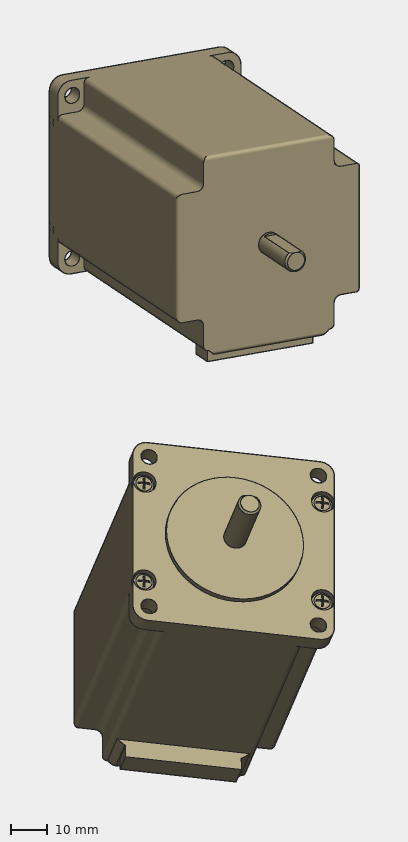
import cadquery as cq
import math


total_length = 112.6
side = 56.0
half_side = side / 2

flange_thickness = 5.1
flange_corner_radius = 4.0
boss_radius = 19.0
boss_height = 1.6
mount_hole_offset = 23.5
mount_hole_diameter = 4.5

body_end = 76.0
notch_wall_y = 19.9
notch_floor_z = 18.6
edge_radius = 1.5
notch_radius = 2.0
end_radius = 1.0

shaft_diameter = 6.3
shaft_radius = shaft_diameter / 2
shaft_chamfer = 0.6
front_tip = -20.5
rear_tip = front_tip + total_length
front_flat_length = 15.0
rear_flat_length = 15.2
flat_depth = 0.62

rear_cap_start = 64.0
outlet_drop = 1.7
outlet_bottom_half_width = 16.3
connector_length = 6.9
connector_half_width = 16.1
connector_drop = 5.3

screw_y = 24.8
screw_z = 15.4
counterbore_diameter = 6.3
counterbore_depth = 2.3
head_radius = 2.9
head_rim_radius = 0.7
head_rim_depth = 1.6
head_top_depth = 0.3
recess_length = 3.4
recess_width = 0.5
recess_depth = 1.0


def section_at(x):
    """Sketch plane across the shaft at X = x, with local axes along Y and Z."""
    return cq.Workplane("YZ", origin=(x, 0, 0))


def corner_points(y, z):
    """The four points mirrored about both section axes."""
    return [(sy * y, sz * z) for sy in (-1, 1) for sz in (-1, 1)]


def make_flange():
    plate = section_at(0).rect(side, side).extrude(flange_thickness)
    plate = plate.edges("|X").fillet(flange_corner_radius)
    boss = section_at(-boss_height).circle(boss_radius).extrude(boss_height)
    return plate.union(boss)


def make_cable_outlet():
    """Tapered swelling along the underside of the rear cap."""
    top_half_width = notch_wall_y - edge_radius
    outlet_bottom = -half_side - outlet_drop
    return (
        section_at(rear_cap_start)
        .moveTo(-top_half_width, -half_side)
        .lineTo(-outlet_bottom_half_width, outlet_bottom)
        .lineTo(outlet_bottom_half_width, outlet_bottom)
        .lineTo(top_half_width, -half_side)
        .close()
        .extrude(body_end - rear_cap_start)
    )


def make_connector():
    return (
        section_at(rear_cap_start)
        .center(0, -half_side - connector_drop / 2)
        .rect(2 * connector_half_width, connector_drop)
        .extrude(connector_length)
    )


def make_rounded_envelope():
    """Block around the body and cable outlet, rounded around its rear face."""
    block = (
        section_at(0)
        .center(0, -outlet_drop / 2)
        .rect(side, side + outlet_drop)
        .extrude(body_end)
    )
    return block.faces(">X").edges().fillet(end_radius)


def make_body():
    """Two crossed bars with rounded edges, blended where they meet in the corner notches."""
    wide_bar = section_at(0).rect(side, 2 * notch_floor_z).extrude(body_end)
    tall_bar = section_at(0).rect(2 * notch_wall_y, side).extrude(body_end)
    wide_bar = wide_bar.edges("|X").fillet(edge_radius)
    tall_bar = tall_bar.edges("|X").fillet(edge_radius)
    body = wide_bar.union(tall_bar)
    for y, z in corner_points(notch_wall_y, notch_floor_z):
        inner_edge = cq.selectors.NearestToPointSelector((body_end / 2, y, z))
        body = body.edges("|X").edges(inner_edge).fillet(notch_radius)
    body = body.union(make_cable_outlet())
    return body.intersect(make_rounded_envelope()).union(make_connector())


def make_shaft():
    """Round shaft with chamfered tips and a flat on top of each end."""
    shaft = section_at(front_tip).circle(shaft_radius).extrude(total_length)
    shaft = shaft.faces("<X or >X").chamfer(shaft_chamfer)
    flat_z = shaft_radius - flat_depth / 2
    for start, length in (
        (front_tip, front_flat_length),
        (rear_tip - rear_flat_length, rear_flat_length),
    ):
        flat = section_at(start).center(0, flat_z).rect(shaft_diameter, flat_depth).extrude(length)
        shaft = shaft.cut(flat)
    return shaft


def make_screw_head():
    """Domed head with a rounded rim, resting on the counterbore floor at Y = Z = 0."""
    dome_radius = head_radius - head_rim_radius
    shoulder_depth = head_rim_depth - head_rim_radius
    dome_rise = shoulder_depth - head_top_depth
    sphere_radius = (dome_radius**2 + dome_rise**2) / (2 * dome_rise)
    middle_drop = sphere_radius - math.sqrt(sphere_radius**2 - (dome_radius / 2) ** 2)
    dome_middle_depth = head_top_depth + middle_drop
    rim_arc = head_rim_radius * math.sqrt(0.5)
    head = (
        cq.Workplane("XY")
        .moveTo(counterbore_depth, 0)
        .lineTo(counterbore_depth, head_radius)
        .lineTo(head_rim_depth, head_radius)
        .threePointArc(
            (head_rim_depth - rim_arc, dome_radius + rim_arc),
            (shoulder_depth, dome_radius),
        )
        .threePointArc(
            (dome_middle_depth, dome_radius / 2),
            (head_top_depth, 0),
        )
        .close()
        .revolve(360, (0, 0, 0), (1, 0, 0))
    )
    recess_floor = head_top_depth + recess_depth
    recess = section_at(0).rect(recess_length, recess_width).extrude(recess_floor)
    for angle in (0, 90):
        head = head.cut(recess.rotate((0, 0, 0), (1, 0, 0), angle))
    return head


def cut_mount_holes(motor):
    holes = (
        section_at(0)
        .pushPoints(corner_points(mount_hole_offset, mount_hole_offset))
        .circle(mount_hole_diameter / 2)
        .extrude(flange_thickness)
    )
    return motor.cut(holes)


def add_screws(motor):
    counterbore = section_at(0).circle(counterbore_diameter / 2).extrude(counterbore_depth)
    head = make_screw_head()
    for y, z in corner_points(screw_y, screw_z):
        motor = motor.cut(counterbore.translate((0, y, z)))
        motor = motor.union(head.translate((0, y, z)))
    return motor


motor = make_flange().union(make_body()).union(make_shaft())
motor = cut_mount_holes(motor)
result = add_screws(motor)